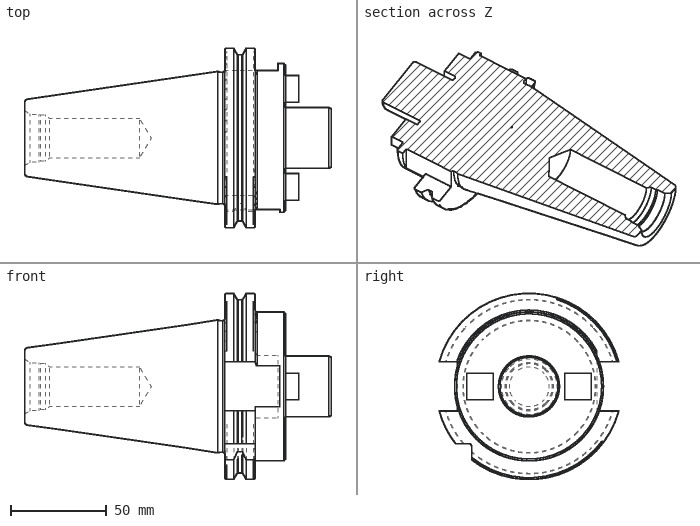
import cadquery as cq
import math


cut_clearance = 1.0

taper_length = 101.6
gauge_radius = 69.85 / 2
taper_slope = 7 / 48
taper_end = -0.5
small_end_radius = gauge_radius - taper_length * taper_slope
taper_end_radius = gauge_radius + taper_end * taper_slope
small_end_fillet = 2.0

neck_start = 0.6
neck_radius = 34.5
neck_fillet = 1.0

flange_start = 3.2
flange_end = 19.1
flange_radius = 97.5 / 2
flange_rounding = 1.0
groove_center = 11.1
groove_root_radius = 45.4
groove_root_width = 2.7
groove_root_fillet = 0.6
groove_wall_angle = 30.0
groove_root_half = groove_root_width / 2
groove_mouth_half = groove_root_half + (flange_radius - groove_root_radius) * math.tan(
    math.radians(groove_wall_angle)
)

nose_end = 35.0
nose_radius = 39.0
nose_chamfer = 1.0
nose_root_fillet = 1.0

pilot_length = 24.0
pilot_radius = 16.0
pilot_chamfer_length = 1.4
pilot_chamfer_depth = 0.8

key_width = 14.0
key_height = 7.0
key_inner = 18.6
key_outer = 32.7

slot_width = 25.7
nose_lip_front = 3.0
nose_lip_back = 4.0
slot_floor_front = 37.5
slot_floor_back = 35.4
flat_end_front = nose_end - nose_lip_front
flat_end_back = nose_end - nose_lip_back

notch_offset = 30.0
notch_fillet = 1.6

mouth_radius = 14.5
mouth_chamfer = 0.5
lead_in_depth = 2.8
bore_ledge = 0.2
pilot_bore_radius = 12.5
pilot_bore_depth = 7.4
relief_start = 8.2
relief_radius = 12.05
relief_depth = 10.9
thread_mouth_radius = 11.65
thread_mouth_depth = 11.6
thread_radius = 10.4
thread_depth = 60.0
drill_half_angle = 59.0


def revolve_about_x(profile):
    """Revolve a closed (X, radius) wire around the X axis."""
    return profile.close().revolve(360, (0, 0, 0), (1, 0, 0))


def box(x_range, y_range, z_range):
    """Axis-aligned box given by its limits along each axis."""
    size = [high - low for low, high in (x_range, y_range, z_range)]
    corner = (x_range[0], y_range[0], z_range[0])
    return cq.Workplane("XY").box(*size, centered=False).translate(corner)


def make_shank():
    small_end = -taper_length
    cone = revolve_about_x(
        cq.Workplane("XY")
        .moveTo(small_end, 0)
        .lineTo(small_end, small_end_radius)
        .lineTo(taper_end, taper_end_radius)
        .lineTo(neck_start, neck_radius)
        .lineTo(flange_start - neck_fillet, neck_radius)
        .radiusArc((flange_start, neck_radius + neck_fillet), -neck_fillet)
        .lineTo(flange_start, 0)
    )
    return cone.faces("<X").edges().fillet(small_end_fillet)


def make_flange():
    rim_radius = flange_radius - flange_rounding
    flange = revolve_about_x(
        cq.Workplane("XY")
        .moveTo(flange_start, 0)
        .lineTo(flange_start, rim_radius)
        .radiusArc((flange_start + flange_rounding, flange_radius), flange_rounding)
        .lineTo(groove_center - groove_mouth_half, flange_radius)
        .lineTo(groove_center - groove_root_half, groove_root_radius)
        .lineTo(groove_center + groove_root_half, groove_root_radius)
        .lineTo(groove_center + groove_mouth_half, flange_radius)
        .lineTo(flange_end - flange_rounding, flange_radius)
        .radiusArc((flange_end, rim_radius), flange_rounding)
        .lineTo(flange_end, 0)
    )
    groove_root_edges = cq.selectors.BoxSelector(
        (groove_center - groove_root_width, -flange_radius, -flange_radius),
        (groove_center + groove_root_width, flange_radius, flange_radius),
    )
    root_circles = flange.edges(groove_root_edges).edges("%CIRCLE")
    return root_circles.fillet(groove_root_fillet)


def make_nose():
    nose = revolve_about_x(
        cq.Workplane("XY")
        .moveTo(flange_end, 0)
        .lineTo(flange_end, nose_radius)
        .lineTo(nose_end - nose_chamfer, nose_radius)
        .lineTo(nose_end, nose_radius - nose_chamfer)
        .lineTo(nose_end, 0)
    )
    return nose.union(make_nose_root_fillet())


def make_nose_root_fillet():
    """Fillet between flange and nose, present on the upper (+Z) half only."""
    inner_radius = nose_radius - nose_root_fillet
    ring = revolve_about_x(
        cq.Workplane("XY")
        .moveTo(flange_end, inner_radius)
        .lineTo(flange_end, nose_radius + nose_root_fillet)
        .radiusArc((flange_end + nose_root_fillet, nose_radius), -nose_root_fillet)
        .lineTo(flange_end + nose_root_fillet, inner_radius)
    )
    upper_half = box(
        (flange_end, nose_end), (-flange_radius, flange_radius), (0, flange_radius)
    )
    return ring.intersect(upper_half)


def make_pilot():
    pilot_end = nose_end + pilot_length
    return revolve_about_x(
        cq.Workplane("XY")
        .moveTo(nose_end, 0)
        .lineTo(nose_end, pilot_radius)
        .lineTo(pilot_end - pilot_chamfer_length, pilot_radius)
        .lineTo(pilot_end, pilot_radius - pilot_chamfer_depth)
        .lineTo(pilot_end, 0)
    )


def make_key(side):
    """Drive key on the +Y (side = 1) or -Y (side = -1) half of the nose face."""
    y_range = sorted((side * key_inner, side * key_outer))
    half_width = key_width / 2
    return box((nose_end, nose_end + key_height), y_range, (-half_width, half_width))


def make_drive_slot(side, floor, nose_flat_end):
    """Cutter for the drive slot and nose flat on the +Y (side = 1) or -Y (side = -1) side."""
    y_range = sorted((side * floor, side * (flange_radius + cut_clearance)))
    half_width = slot_width / 2
    flange_part = box((flange_start, flange_end), y_range, (-half_width, half_width))
    nose_flat = box((flange_end, nose_flat_end), y_range, (-nose_radius, nose_radius))
    return flange_part.union(nose_flat)


def make_notch():
    far = flange_radius + cut_clearance
    notch = box((flange_start, flange_end), (-far, -notch_offset), (-far, -notch_offset))
    return notch.edges("|X and >Y and >Z").fillet(notch_fillet)


def make_pull_stud_hole():
    small_end = -taper_length
    lead_in_radius = mouth_radius - mouth_chamfer
    thread_lead_in = thread_mouth_radius - thread_radius
    cone_depth = thread_radius / math.tan(math.radians(drill_half_angle))
    return revolve_about_x(
        cq.Workplane("XY")
        .moveTo(small_end, 0)
        .lineTo(small_end, mouth_radius)
        .lineTo(small_end + mouth_chamfer, lead_in_radius)
        .lineTo(small_end + lead_in_depth, pilot_bore_radius + bore_ledge)
        .lineTo(small_end + lead_in_depth, pilot_bore_radius)
        .lineTo(small_end + pilot_bore_depth, pilot_bore_radius)
        .lineTo(small_end + relief_start, relief_radius)
        .lineTo(small_end + relief_depth, relief_radius)
        .lineTo(small_end + thread_mouth_depth, thread_mouth_radius)
        .lineTo(small_end + thread_mouth_depth + thread_lead_in, thread_radius)
        .lineTo(small_end + thread_depth, thread_radius)
        .lineTo(small_end + thread_depth + cone_depth, 0)
    )


body = make_shank().union(make_flange()).union(make_nose()).union(make_pilot())
for key_side in (-1, 1):
    body = body.union(make_key(key_side))
body = body.cut(make_drive_slot(-1, slot_floor_front, flat_end_front))
body = body.cut(make_drive_slot(1, slot_floor_back, flat_end_back))
body = body.cut(make_notch())
result = body.cut(make_pull_stud_hole())